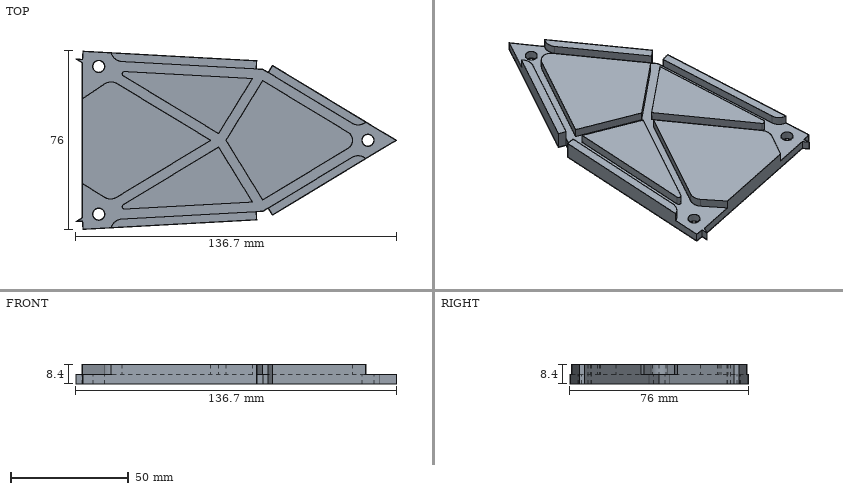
import cadquery as cq
import math


total_length = 136.71
total_width = 76.02
total_height = 8.4
floor_height = 4.2

corner_x = 0.35
corner_y = total_width / 2
side_taper = 3.14
nose_slope = 31.2
nose_edge_x = 133.9
nose_tip_x = 134.1
nose_kink_x = 126.85

rail_width = 3.5
rail_end_radius = 5.0
side_rail_start_x = 12.4
side_rail_end_x = 74.5
nose_rail_start_x = 81.2
nose_rail_end_x = 121.0

groove_width = 4.2
hub_x = 58.9
cross_groove_slope = 58.4
upper_flank_y = 17.6
upper_flank_slope = 33.9
lower_flank_y = 18.35
lower_flank_slope = 31.9
base_panel_radius = 5.0
side_panel_radius = 1.0
nose_panel_radius = 4.0

spur_length = total_length - nose_tip_x
spur_root_y = 33.1

hole_diameter = 5.0
base_hole_x = 7.1
base_hole_y = 31.5
nose_hole_x = 121.9


def line(x, y, slope):
    """Straight line through (x, y) at a slope in degrees."""
    return x, y, math.radians(slope)


def shifted(base_line, distance):
    """Parallel line, moved to the left of its direction by a distance."""
    x, y, angle = base_line
    return x - distance * math.sin(angle), y + distance * math.cos(angle), angle


def crossing(first, second):
    """Point where two lines meet."""
    x1, y1, a1 = first
    x2, y2, a2 = second
    along = ((x2 - x1) * math.sin(a2) - (y2 - y1) * math.cos(a2)) / math.sin(a2 - a1)
    return x1 + along * math.cos(a1), y1 + along * math.sin(a1)


def at_x(base_line, x):
    """Point of a line at a given X."""
    return crossing(base_line, line(x, 0, 90))


def inward(point, base_line, distance):
    """Point moved square to a line, towards the inside of the plate."""
    angle = base_line[2]
    return point[0] + distance * math.sin(angle), point[1] - distance * math.cos(angle)


def mirrored(point):
    return point[0], -point[1]


def prism(points, height):
    return cq.Workplane("XY").polyline(points).close().extrude(height)


def both_sides(body):
    return body.union(body.mirror("XZ"))


def round_edge(body, point, radius):
    """Round the vertical edge that stands nearest to a plan point."""
    nearest = cq.selectors.NearestToPointSelector((point[0], point[1], total_height / 2))
    return body.edges("|Z").edges(nearest).fillet(radius)


axis = line(0, 0, 0)
side_outer = line(corner_x, corner_y, -side_taper)
side_inner = shifted(side_outer, -rail_width)
side_panel_edge = shifted(side_inner, -groove_width)
nose_outer = line(nose_edge_x, 0, -nose_slope)
nose_inner = shifted(nose_outer, -rail_width)
nose_panel_edge = shifted(nose_inner, -groove_width)
base_groove = line(hub_x, 0, -nose_slope)
cross_groove = line(hub_x, 0, cross_groove_slope)

side_rail_start = at_x(side_outer, side_rail_start_x)
side_rail_end = at_x(side_outer, side_rail_end_x)
nose_rail_start = at_x(nose_outer, nose_rail_start_x)
nose_rail_end = at_x(nose_outer, nose_rail_end_x)


def make_floor():
    half_outline = [
        (0, spur_root_y),
        at_x(side_inner, -spur_length),
        inward((corner_x, corner_y), side_outer, rail_width),
        (corner_x, corner_y),
        side_rail_end,
        inward(side_rail_end, side_outer, rail_width),
        crossing(side_inner, nose_inner),
        inward(nose_rail_start, nose_outer, rail_width),
        nose_rail_start,
        at_x(nose_outer, nose_kink_x),
    ]
    other_half = [mirrored(point) for point in reversed(half_outline)]
    return prism(half_outline + [(nose_tip_x, 0)] + other_half, floor_height)


def make_rail(edge, square_end, round_end):
    """Rail with one square end and one end curving from its inner face out to the edge."""
    arc_run = math.sqrt(rail_end_radius**2 - (rail_end_radius - rail_width) ** 2)
    edge_length = math.dist(square_end, round_end)
    toward_x = (square_end[0] - round_end[0]) / edge_length
    toward_y = (square_end[1] - round_end[1]) / edge_length

    def rail_point(run, depth):
        on_edge = (round_end[0] + run * toward_x, round_end[1] + run * toward_y)
        return inward(on_edge, edge, depth)

    center_depth = rail_width - rail_end_radius
    half_turn = math.asin(arc_run / rail_end_radius) / 2
    arc_middle = rail_point(
        arc_run - rail_end_radius * math.sin(half_turn),
        center_depth + rail_end_radius * math.cos(half_turn),
    )
    return (
        cq.Workplane("XY")
        .moveTo(*round_end)
        .threePointArc(arc_middle, rail_point(arc_run, rail_width))
        .lineTo(*inward(square_end, edge, rail_width))
        .lineTo(*square_end)
        .close()
        .extrude(total_height)
    )


def make_base_panel():
    groove_wall = shifted(base_groove, -groove_width / 2)
    upper_shoulder = crossing(line(0, upper_flank_y, upper_flank_slope), groove_wall)
    lower_shoulder = mirrored(crossing(line(0, lower_flank_y, lower_flank_slope), groove_wall))
    outline = [
        (0, upper_flank_y),
        upper_shoulder,
        crossing(groove_wall, axis),
        lower_shoulder,
        (0, -lower_flank_y),
    ]
    panel = prism(outline, total_height)
    for shoulder in (upper_shoulder, lower_shoulder):
        panel = round_edge(panel, shoulder, base_panel_radius)
    return panel


def make_side_panel():
    lower_wall = shifted(base_groove, groove_width / 2)
    front_wall = shifted(cross_groove, groove_width / 2)
    rear_tip = crossing(side_panel_edge, lower_wall)
    outline = [
        rear_tip,
        crossing(side_panel_edge, front_wall),
        crossing(lower_wall, front_wall),
    ]
    return round_edge(prism(outline, total_height), rear_tip, side_panel_radius)


def make_nose_panel():
    rear_wall = shifted(cross_groove, -groove_width / 2)
    shoulder = crossing(rear_wall, nose_panel_edge)
    front_tip = crossing(nose_panel_edge, axis)
    outline = [crossing(rear_wall, axis), shoulder, front_tip, mirrored(shoulder)]
    return round_edge(prism(outline, total_height), front_tip, nose_panel_radius)


def make_holes():
    centers = [(base_hole_x, base_hole_y), (base_hole_x, -base_hole_y), (nose_hole_x, 0)]
    return cq.Workplane("XY").pushPoints(centers).circle(hole_diameter / 2).extrude(total_height)


side_rail = make_rail(side_outer, side_rail_end, side_rail_start)
nose_rail = make_rail(nose_outer, nose_rail_start, nose_rail_end)

result = make_floor()
result = result.union(make_base_panel()).union(make_nose_panel())
for half_feature in (make_side_panel(), side_rail, nose_rail):
    result = result.union(both_sides(half_feature))
result = result.cut(make_holes())